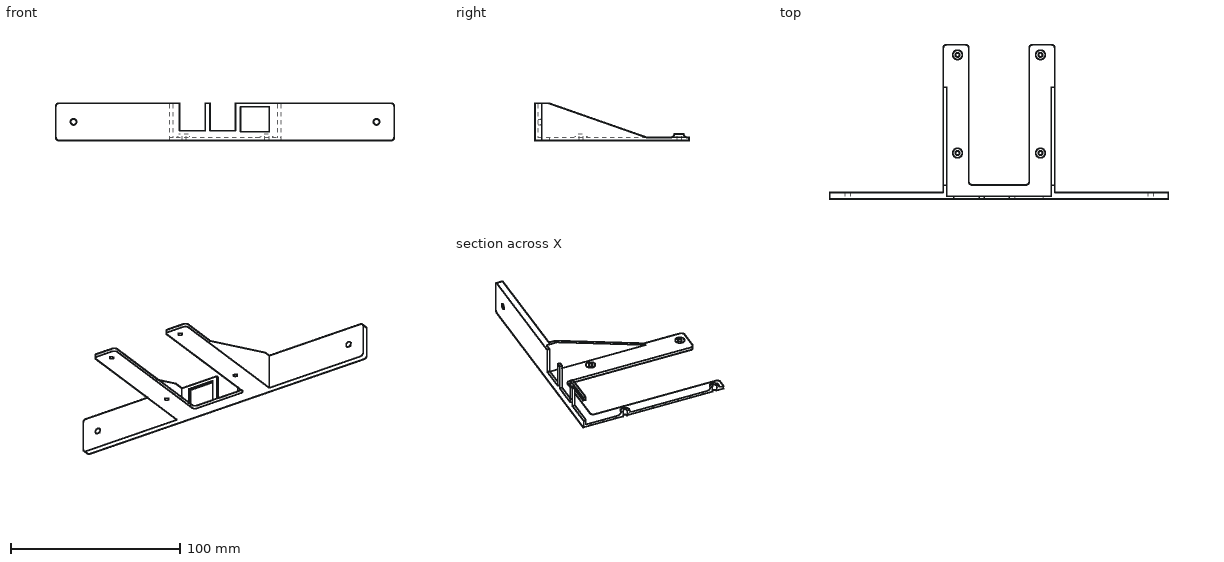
import cadquery as cq
import math

plate_length = 199.8
plate_height = 22.2
plate_thickness = 4.0
corner_radius = 2.0
plate_hole_diameter = 3.4
plate_hole_spacing = 178.8

tray_depth = 91.1
tray_width = 66.0
floor_thickness = 2.0
leg_gap = 35.5
gap_start_y = 8.4

gusset_thickness = 2.0
gusset_flat_end_y = 8.2
gusset_tip_y = 66.0
thin_wall = 1.5
pocket_width = tray_width - 2 * gusset_thickness

notch_left_x = -26.8
notch_width = 15.0
notch_bar = 3.0
notch_floor_z = 6.0
notch_count = 2
window_left_x = 9.2
window_width = 16.8
window_bottom_z = 5.4
window_height = 14.5

boss_diameter = 5.5
boss_height = 2.0
boss_hole_diameter = 2.4
boss_spacing_x = 49.0
boss_spacing_y = 58.0
boss_front_y = 27.2


def box_at(x, y, z, length, depth, height):
    """Box given by its left, front, bottom corner and its sizes."""
    return cq.Workplane("XY").box(length, depth, height, centered=False).translate((x, y, z))


def make_face_plate():
    plate = (
        box_at(-plate_length / 2, 0, 0, plate_length, plate_thickness, plate_height)
        .edges("|Y")
        .fillet(corner_radius)
    )
    holes = (
        cq.Workplane("XZ")
        .pushPoints([(side * plate_hole_spacing / 2, plate_height / 2) for side in (-1, 1)])
        .circle(plate_hole_diameter / 2)
        .extrude(-plate_thickness)
    )
    return plate.cut(holes)


def make_floor():
    floor = box_at(-tray_width / 2, 0, 0, tray_width, tray_depth, floor_thickness)
    gap = box_at(-leg_gap / 2, gap_start_y, 0, leg_gap, tray_depth - gap_start_y, floor_thickness)
    floor = floor.cut(gap)
    leg_ends = floor.edges("|Z and >Y")
    gap_corners = cq.selectors.BoxSelector(
        (-leg_gap, gap_start_y / 2, -floor_thickness),
        (leg_gap, 2 * gap_start_y, 2 * floor_thickness),
    )
    return leg_ends.fillet(corner_radius).edges("|Z").edges(gap_corners).fillet(corner_radius)


def make_gusset(left_x):
    return (
        cq.Workplane("YZ", origin=(left_x, 0, 0))
        .polyline([
            (0, 0),
            (gusset_tip_y, 0),
            (gusset_tip_y, floor_thickness),
            (gusset_flat_end_y, plate_height),
            (0, plate_height),
        ])
        .close()
        .extrude(gusset_thickness)
    )


def make_boss(x, y):
    """Standoff whose side flares into the floor along a concave quarter circle."""
    top_radius = boss_diameter / 2
    base_radius = top_radius + boss_height
    arc_mid = (
        base_radius - boss_height * math.sqrt(0.5),
        boss_height * (1 - math.sqrt(0.5)),
    )
    return (
        cq.Workplane("XZ")
        .lineTo(base_radius, 0)
        .threePointArc(arc_mid, (top_radius, boss_height))
        .lineTo(0, boss_height)
        .close()
        .revolve(360, (0, 0), (0, 1))
        .translate((x, y, floor_thickness))
    )


boss_places = [
    (side * boss_spacing_x / 2, boss_front_y + row * boss_spacing_y)
    for side in (-1, 1)
    for row in (0, 1)
]

pocket = box_at(
    -pocket_width / 2, thin_wall, floor_thickness,
    pocket_width, plate_thickness - thin_wall, plate_height - floor_thickness,
)
result = make_face_plate().cut(pocket).union(make_floor())

for gusset_x in (-tray_width / 2, tray_width / 2 - gusset_thickness):
    result = result.union(make_gusset(gusset_x))

for index in range(notch_count):
    notch_x = notch_left_x + index * (notch_width + notch_bar)
    notch = box_at(notch_x, 0, notch_floor_z, notch_width, thin_wall, plate_height - notch_floor_z)
    result = result.cut(notch)
result = result.cut(
    box_at(window_left_x, 0, window_bottom_z, window_width, thin_wall, window_height)
)

for boss_x, boss_y in boss_places:
    result = result.union(make_boss(boss_x, boss_y))
boss_holes = (
    cq.Workplane("XY")
    .pushPoints(boss_places)
    .circle(boss_hole_diameter / 2)
    .extrude(floor_thickness + boss_height)
)
result = result.cut(boss_holes)